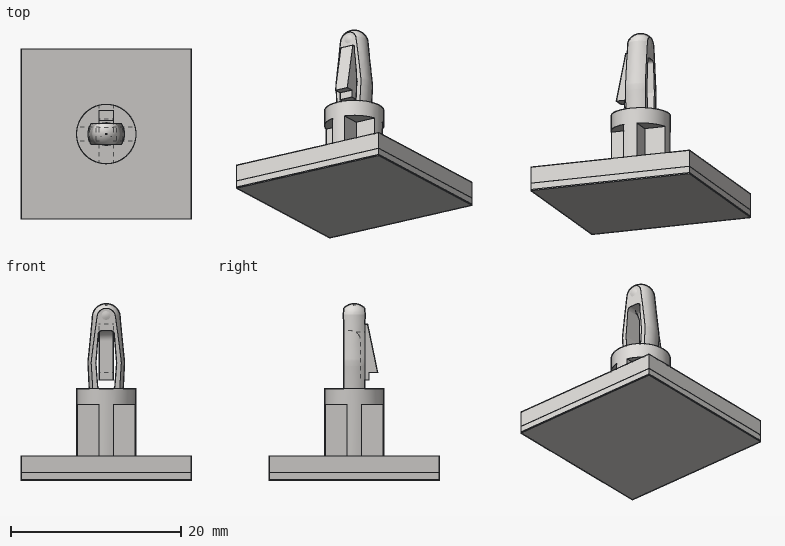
import cadquery as cq
import math

base_side = 20.0
liner_thickness = 0.15
pad_thickness = 0.77
plate_top = 2.9
pad_bottom = liner_thickness
plate_bottom = pad_bottom + pad_thickness

post_diameter = 7.0
web_thickness = 1.66
flange_bottom = 8.93
flange_top = 10.8

pinhole_diameter = 0.17
pinhole_depth = 0.2

tip_z = 20.8
dome_radius = 1.66
dome_center_z = tip_z - math.sqrt(dome_radius**2 - (pinhole_diameter / 2) ** 2)
apex_z = dome_center_z + dome_radius
shoulder_z = 19.5
shoulder_radius = math.sqrt(dome_radius**2 - (shoulder_z - dome_center_z) ** 2)
bulge_top_z = 14.2
bulge_bottom_z = 13.45
bulge_mid_z = (bulge_top_z + bulge_bottom_z) / 2
bulge_edge_radius = 2.15
bulge_mid_radius = 2.16
root_radius = 2.02
head_thickness = 2.5
flat_y = head_thickness / 2

window_top_z = 17.63
window_top_half_width = 0.9
window_mid_half_width = 1.2
window_bottom_half_width = 0.98
window_top_fillet = 0.42
window_bottom_fillet = 0.25

tongue_width = 1.66
tongue_front_y = 0.75
tongue_fillet = 1.19
tongue_top_z = 18.38
tongue_top_y = 1.58
tongue_tip_y = 2.77
tongue_tip_z = 12.67
tongue_step_y = 1.75
tongue_bottom_z = 11.8

bump_z = 19.37
bump_radius = 0.52
bump_height = 0.08
bump_root_y = flat_y - 0.2


def square_layer(bottom, top):
    """Square slab between two heights."""
    return cq.Workplane("XY").workplane(offset=bottom).rect(base_side, base_side).extrude(top - bottom)


def make_post():
    """Crossed webs trimmed to a cylinder, topped by the full round flange."""
    height = flange_bottom - plate_top
    foot = cq.Workplane("XY").workplane(offset=plate_top)
    webs = foot.rect(post_diameter, web_thickness).extrude(height)
    webs = webs.union(foot.rect(web_thickness, post_diameter).extrude(height))
    webs = webs.intersect(foot.circle(post_diameter / 2).extrude(height))
    flange = (
        cq.Workplane("XY")
        .workplane(offset=flange_bottom)
        .circle(post_diameter / 2)
        .extrude(flange_top - flange_bottom)
    )
    return webs.union(flange)


def make_bulb():
    """Revolved head with flat front and back."""
    dome_mid = dome_radius * math.sqrt(0.5)
    bulb = (
        cq.Workplane("XZ")
        .moveTo(0, flange_top)
        .lineTo(root_radius, flange_top)
        .lineTo(bulge_edge_radius, bulge_bottom_z)
        .threePointArc((bulge_mid_radius, bulge_mid_z), (bulge_edge_radius, bulge_top_z))
        .lineTo(shoulder_radius, shoulder_z)
        .threePointArc((dome_mid, dome_center_z + dome_mid), (0, apex_z))
        .close()
        .revolve(360, (0, 0, 0), (0, 1, 0))
    )
    head_height = apex_z - flange_top
    slab = (
        cq.Workplane("XY")
        .workplane(offset=flange_top)
        .rect(post_diameter, head_thickness)
        .extrude(head_height)
    )
    return bulb.intersect(slab)


def make_window():
    """Cutter for the rounded opening, widest at the bulge."""
    right_side = [
        (window_bottom_half_width, flange_top),
        (window_mid_half_width, bulge_mid_z),
        (window_top_half_width, window_top_z),
    ]
    left_side = [(-x, z) for x, z in reversed(right_side)]
    window = cq.Workplane("XZ").polyline(right_side + left_side).close().extrude(flat_y, both=True)
    window = window.faces(">Z").edges("|Y").fillet(window_top_fillet)
    return window.faces("<Z").edges("|Y").fillet(window_bottom_fillet)


def make_tongue():
    """Wedge with a stepped lower end and a concave blend into the window top."""
    arc_start_y = tongue_front_y - tongue_fillet
    arc_end_z = window_top_z - tongue_fillet
    arc_mid = tongue_fillet * math.sqrt(0.5)
    return (
        cq.Workplane("YZ")
        .moveTo(arc_start_y, tongue_top_z)
        .lineTo(tongue_top_y, tongue_top_z)
        .lineTo(tongue_tip_y, tongue_tip_z)
        .lineTo(tongue_step_y, tongue_tip_z)
        .lineTo(tongue_step_y, tongue_bottom_z)
        .lineTo(tongue_front_y, tongue_bottom_z)
        .lineTo(tongue_front_y, arc_end_z)
        .threePointArc((arc_start_y + arc_mid, arc_end_z + arc_mid), (arc_start_y, window_top_z))
        .close()
        .extrude(tongue_width / 2, both=True)
    )


def make_bump(side):
    """Spherical cap proud of the flat on the given side (-1 or +1), rooted just inside the head."""
    sphere_radius = (bump_radius**2 + bump_height**2) / (2 * bump_height)
    cap_y = side * (flat_y + bump_height)
    mid_angle = math.asin(bump_radius / sphere_radius) / 2
    mid_x = sphere_radius * math.sin(mid_angle)
    mid_y = cap_y - side * sphere_radius * (1 - math.cos(mid_angle))
    cap = (
        cq.Workplane("XY")
        .moveTo(0, side * bump_root_y)
        .lineTo(bump_radius, side * bump_root_y)
        .lineTo(bump_radius, side * flat_y)
        .threePointArc((mid_x, mid_y), (0, cap_y))
        .close()
        .revolve(360, (0, 0, 0), (0, 1, 0))
    )
    return cap.translate((0, 0, bump_z))


def make_tip_pinhole():
    """Cutter for the tiny blind hole at the top of the dome."""
    return (
        cq.Workplane("XY")
        .workplane(offset=tip_z - pinhole_depth)
        .circle(pinhole_diameter / 2)
        .extrude(pinhole_depth + apex_z - tip_z)
    )


def make_support():
    """Plate, post and snap head as one moulded body."""
    head = make_bulb().cut(make_window()).union(make_tongue())
    for side in (-1, 1):
        head = head.union(make_bump(side))
    head = head.cut(make_tip_pinhole())
    return square_layer(plate_bottom, plate_top).union(make_post()).union(head).solids()


liner = square_layer(0, pad_bottom)
adhesive_pad = square_layer(pad_bottom, plate_bottom)
support = make_support()

result = cq.Compound.makeCompound([liner.val(), adhesive_pad.val(), support.val()])